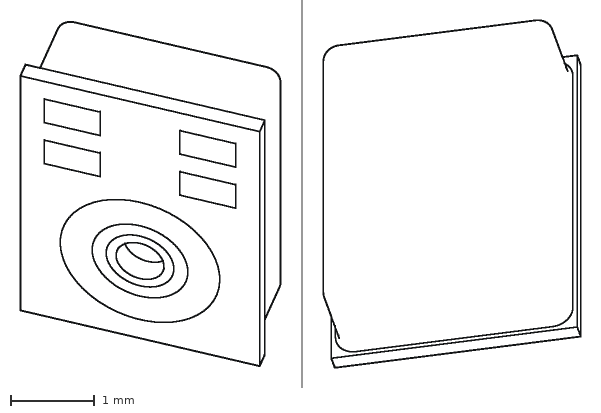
import cadquery as cq

board_width = 3.0
board_height = 4.0
board_thickness = 0.2
overall_depth = 1.2

can_side_gap = 0.1
can_corner_radius = 0.2
can_rim_radius = 0.1
can_foot_radius = 0.05
can_width = board_width - 2 * can_side_gap
can_height = board_height - 2 * can_side_gap
can_depth = overall_depth - board_thickness

contact_thickness = 0.04
pad_width = 0.7
pad_height = 0.4
pad_edge_gap = 0.3
pad_row_pitch = 0.7
pad_x = board_width / 2 - pad_edge_gap - pad_width / 2
top_pad_z = board_height / 2 - pad_edge_gap - pad_height / 2
pad_centres = [
    (side * pad_x, top_pad_z - row * pad_row_pitch)
    for side in (-1, 1)
    for row in (0, 1)
]

port_z = -0.68
port_radius = 0.3
port_depth = 0.3
sleeve_radius = 0.425
ring_inner_radius = 0.6
ring_outer_radius = 1.0


def block(width, depth, height, x=0.0, y=0.0, z=0.0):
    """Box centred on (x, z) that starts at y and runs toward +Y."""
    return cq.Workplane("XY").box(width, depth, height).translate((x, y + depth / 2, z))


def port_cylinder(radius, depth):
    """Cylinder on the port axis that starts at the outer face of the board."""
    axis_start = cq.Vector(0, 0, port_z)
    return cq.Workplane(obj=cq.Solid.makeCylinder(radius, depth, axis_start, cq.Vector(0, 1, 0)))


def make_pad(x, z):
    """Rectangular solder pad."""
    return block(pad_width, contact_thickness, pad_height, x=x, z=z)


def make_ground_ring():
    """Flat solder ring around the port."""
    disc = port_cylinder(ring_outer_radius, contact_thickness)
    return disc.cut(port_cylinder(ring_inner_radius, contact_thickness)).solids()


def make_port_sleeve():
    """Tube that lines the port, through the board and into the can."""
    return port_cylinder(sleeve_radius, port_depth).cut(port_cylinder(port_radius, port_depth)).solids()


def make_board(pads, ground_ring):
    """Board with recesses for the contacts and a hole for the sleeve."""
    plate = block(board_width, board_thickness, board_height)
    for contact in pads + [ground_ring]:
        plate = plate.cut(contact)
    return plate.cut(port_cylinder(sleeve_radius, board_thickness)).solids()


def make_can():
    """Rounded can with a concave fillet at its foot and a seat for the sleeve end."""
    body = block(can_width, can_depth, can_height, y=board_thickness)
    body = body.edges("|Y").fillet(can_corner_radius)
    body = body.faces(">Y").edges().fillet(can_rim_radius)
    base = block(board_width, board_thickness, board_height)
    ledge = body.union(base).faces(cq.selectors.BoxSelector(
        (-board_width, board_thickness - can_foot_radius / 2, -board_height),
        (board_width, board_thickness + can_foot_radius / 2, board_height),
    ))
    foot_edges = ledge.val().innerWires()[0].Edges()
    body = ledge.newObject(foot_edges).fillet(can_foot_radius)
    return body.cut(base).cut(port_cylinder(sleeve_radius, port_depth)).solids()


pads = [make_pad(x, z) for x, z in pad_centres]
ground_ring = make_ground_ring()
port_sleeve = make_port_sleeve()
board = make_board(pads, ground_ring)
can = make_can()

result = cq.Compound.makeCompound(
    [board.val(), can.val(), ground_ring.val(), port_sleeve.val(), *[pad.val() for pad in pads]]
)